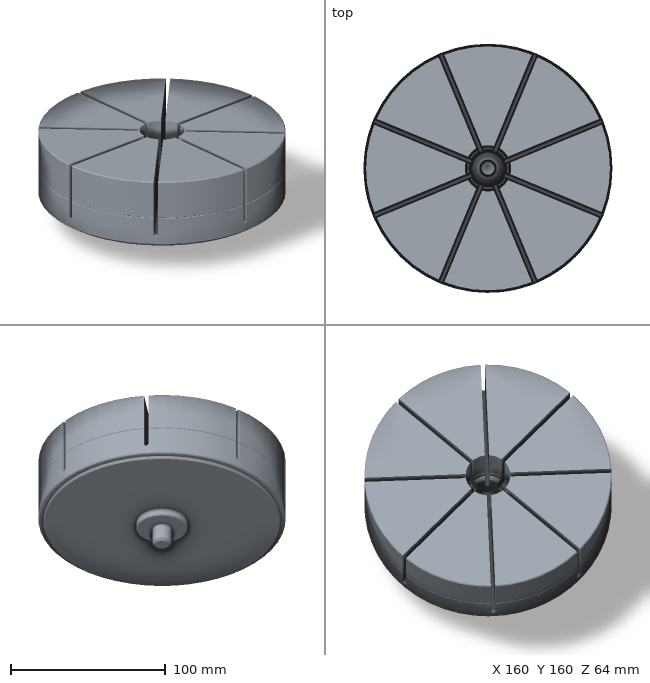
import cadquery as cq
import math

disc_radius = 80.0
total_height = 64.0
jaw_height = 25.6
body_height = 19.2
plate_height = 2.2
plate_radius = 76.8
collar_height = 5.0
collar_radius = 16.6
shaft_radius = 6.0
shaft_chamfer = 1.5
edge_chamfer = 0.6
plate_taper = 0.5
plate_chamfer = 0.8
seam_groove = 0.3

bore_radius = 14.4
recess_radius = 14.0
recess_depth = 3.2
socket_radius = 11.2
socket_chamfer = 0.8
socket_depth = 20.0
dome_radius = 10.7
crown_radius = 5.1
cone_radius = 4.6
cone_angle = 118.0

slot_count = 8
slot_width = 2.9
slot_depth = 38.7

face_z = total_height / 2
seam_z = face_z - jaw_height
body_z = seam_z - body_height
plate_z = body_z - plate_height
collar_z = plate_z - collar_height
shaft_z = -total_height / 2
recess_z = seam_z - recess_depth
socket_z = recess_z - socket_depth


def make_body():
    """Turned outline of both discs, the cover plate, the collar and the shaft."""
    plate_rim_z = plate_z + plate_chamfer
    outline = [
        (0, face_z),
        (disc_radius - edge_chamfer, face_z),
        (disc_radius, face_z - edge_chamfer),
        (disc_radius, seam_z + seam_groove),
        (disc_radius - seam_groove, seam_z),
        (disc_radius, seam_z - seam_groove),
        (disc_radius, body_z + edge_chamfer),
        (disc_radius - edge_chamfer, body_z),
        (plate_radius - plate_taper, body_z),
        (plate_radius, plate_rim_z),
        (plate_radius - plate_chamfer, plate_z),
        (collar_radius, plate_z),
        (collar_radius, collar_z + edge_chamfer),
        (collar_radius - edge_chamfer, collar_z),
        (shaft_radius, collar_z),
        (shaft_radius, shaft_z + shaft_chamfer),
        (shaft_radius - shaft_chamfer, shaft_z),
        (0, shaft_z),
    ]
    return cq.Workplane("XZ").polyline(outline).close().revolve(360, (0, 0), (0, 1))


def make_bore():
    """Stepped central bore whose floor rises into a dome with a flat crown and a conical dimple."""
    crown_z = socket_z + math.sqrt(dome_radius**2 - crown_radius**2)
    cone_tip_z = crown_z - cone_radius / math.tan(math.radians(cone_angle / 2))
    dome_mid = dome_radius * math.sqrt(0.5)
    return (
        cq.Workplane("XZ")
        .moveTo(0, face_z)
        .lineTo(bore_radius, face_z)
        .lineTo(bore_radius, seam_z)
        .lineTo(recess_radius, seam_z)
        .lineTo(recess_radius, recess_z)
        .lineTo(socket_radius + socket_chamfer, recess_z)
        .lineTo(socket_radius, recess_z - socket_chamfer)
        .lineTo(socket_radius, socket_z)
        .lineTo(dome_radius, socket_z)
        .threePointArc((dome_mid, socket_z + dome_mid), (crown_radius, crown_z))
        .lineTo(cone_radius, crown_z)
        .lineTo(0, cone_tip_z)
        .close()
        .revolve(360, (0, 0), (0, 1))
    )


def make_slots():
    """Radial slots with round bottoms."""
    slot_radius = slot_width / 2
    bottom_z = face_z - slot_depth
    arc_center_z = bottom_z + slot_radius
    slots = cq.Workplane("XY")
    profile = (
        cq.Workplane("YZ")
        .moveTo(-slot_radius, face_z)
        .lineTo(-slot_radius, arc_center_z)
        .threePointArc((0, bottom_z), (slot_radius, arc_center_z))
        .lineTo(slot_radius, face_z)
        .close()
        .extrude(disc_radius)
    )
    for index in range(slot_count):
        angle = (index + 0.5) * 360 / slot_count
        slots = slots.add(profile.rotate((0, 0, 0), (0, 0, 1), angle))
    return slots.combine()


result = make_body().cut(make_slots()).cut(make_bore())